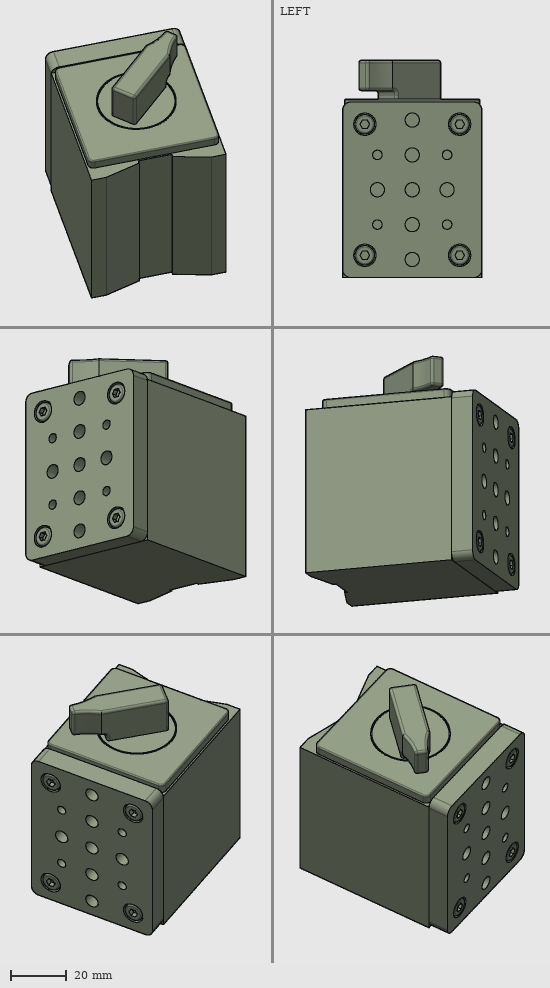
import cadquery as cq
import math


WIDTH = 50.0
BASE_LENGTH = 55.5
BASE_HEIGHT = 60.5

VEE_MOUTH_WIDTH = 39.0
VEE_FLOOR_WIDTH = 12.4
VEE_DEPTH = 3.85
RELIEF_DEPTH = 1.15

COVER_LENGTH = 48.8
COVER_WIDTH = 48.5
COVER_HEIGHT = 3.5
COVER_START = 1.1
COVER_CORNER_RADIUS = 2.0
COVER_EDGE_FILLET = 0.5
COVER_TOP = BASE_HEIGHT + COVER_HEIGHT

SWITCH_X = 24.5
RING_OUTER_DIAMETER = 28.6
RING_WIDTH = 0.4
RING_DEPTH = 0.5

HANDLE_ANGLE = 135.0
HANDLE_HEIGHT = 14.0
HANDLE_LENGTH = 35.2
HANDLE_WIDTH = 10.0
HANDLE_TAIL = -10.8
HANDLE_OFFSET = -0.75
TIP_WIDTH = 5.0
TAPER_START = 14.2
STEM_END = 12.15
FINGER_GAP = 3.0
GAP_FILLET = 1.5
HANDLE_FILLET = 1.0
HANDLE_TIP = HANDLE_TAIL + HANDLE_LENGTH

PLATE_THICKNESS = 8.0
PLATE_HEIGHT = 63.0
PLATE_CORNER_RADIUS = 3.0
PLATE_MIDDLE = PLATE_HEIGHT / 2
HOLE_PITCH = 12.5
LARGE_HOLE_DIAMETER = 5.1
SMALL_HOLE_DIAMETER = 3.4

SCREW_HALF_SPACING_Y = 17.0
SCREW_HALF_SPACING_Z = 23.5
HEAD_DIAMETER = 7.0
HEAD_HEIGHT = 4.0
HEAD_FILLET = 0.5
COUNTERBORE_DIAMETER = 8.0
SHANK_DIAMETER = 4.0
SHANK_LENGTH = 12.0
SOCKET_FLATS = 3.0
SOCKET_DEPTH = 2.0
SOCKET_TURN = 30.0

SCREW_CENTRES = [
    (side_y * SCREW_HALF_SPACING_Y, PLATE_MIDDLE + side_z * SCREW_HALF_SPACING_Z)
    for side_y in (-1, 1)
    for side_z in (-1, 1)
]


def rod_along_x(diameter, x_start, length, y, z):
    """A cylinder running in +X from x_start."""
    return cq.Workplane("YZ", origin=(x_start, y, z)).circle(diameter / 2).extrude(length)


def make_block():
    """Base block with the V-groove and relief slot running its full height."""
    vee_floor_x = BASE_LENGTH - VEE_DEPTH
    relief_x = vee_floor_x - RELIEF_DEPTH
    half_mouth = VEE_MOUTH_WIDTH / 2
    half_floor = VEE_FLOOR_WIDTH / 2
    return (
        cq.Workplane("XY")
        .moveTo(0, -WIDTH / 2)
        .lineTo(BASE_LENGTH, -WIDTH / 2)
        .lineTo(BASE_LENGTH, -half_mouth)
        .lineTo(vee_floor_x, -half_floor)
        .lineTo(relief_x, -half_floor)
        .lineTo(relief_x, half_floor)
        .lineTo(vee_floor_x, half_floor)
        .lineTo(BASE_LENGTH, half_mouth)
        .lineTo(BASE_LENGTH, WIDTH / 2)
        .lineTo(0, WIDTH / 2)
        .close()
        .extrude(BASE_HEIGHT)
    )


def make_cover():
    """Raised cover with rounded corners and a ring groove around the switch axis."""
    cover = (
        cq.Workplane("XY", origin=(COVER_START + COVER_LENGTH / 2, 0, BASE_HEIGHT))
        .rect(COVER_LENGTH, COVER_WIDTH)
        .extrude(COVER_HEIGHT)
        .edges("|Z")
        .fillet(COVER_CORNER_RADIUS)
        .faces(">Z")
        .edges()
        .fillet(COVER_EDGE_FILLET)
    )
    ring_radius = RING_OUTER_DIAMETER / 2
    ring = (
        cq.Workplane("XY", origin=(SWITCH_X, 0, COVER_TOP))
        .circle(ring_radius)
        .circle(ring_radius - RING_WIDTH)
        .extrude(-RING_DEPTH)
    )
    return cover.cut(ring)


def make_handle():
    """Tapered handle whose tip overhangs the cover, turned to its switch position."""
    half_width = HANDLE_WIDTH / 2
    half_tip = TIP_WIDTH / 2
    taper_length = HANDLE_TIP - TAPER_START
    taper_drop = half_width - half_tip
    flank_radius = (taper_length**2 + taper_drop**2) / (2 * taper_drop)
    half_sweep = math.asin(taper_length / flank_radius) / 2
    flank_middle_x = HANDLE_TIP - flank_radius * math.sin(half_sweep)
    flank_middle_y = half_tip + flank_radius * (1 - math.cos(half_sweep))

    handle = (
        cq.Workplane("XY")
        .moveTo(HANDLE_TAIL, -half_width)
        .lineTo(TAPER_START, -half_width)
        .threePointArc((flank_middle_x, -flank_middle_y), (HANDLE_TIP, -half_tip))
        .lineTo(HANDLE_TIP, half_tip)
        .threePointArc((flank_middle_x, flank_middle_y), (TAPER_START, half_width))
        .lineTo(HANDLE_TAIL, half_width)
        .close()
        .extrude(HANDLE_HEIGHT)
    )
    finger_gap = cq.Workplane("XY").box(
        HANDLE_LENGTH, 2 * HANDLE_WIDTH, FINGER_GAP, centered=(False, True, False)
    )
    handle = handle.cut(finger_gap.translate((STEM_END, 0, 0)))

    gap_corner = cq.selectors.NearestToPointSelector((STEM_END, 0, FINGER_GAP))
    handle = handle.edges("|Y").edges(gap_corner).fillet(GAP_FILLET)

    margin = HANDLE_FILLET / 2
    foot = cq.selectors.DirectionMinMaxSelector(cq.Vector(0, 0, 1), False)
    creases = cq.selectors.BoxSelector(
        (TAPER_START - margin, -HANDLE_WIDTH, FINGER_GAP + margin),
        (TAPER_START + margin, HANDLE_WIDTH, HANDLE_HEIGHT - margin),
    )
    gap_fillet_borders = cq.selectors.BoxSelector(
        (STEM_END - margin, -margin, margin),
        (STEM_END + GAP_FILLET + margin, margin, FINGER_GAP + margin),
    )
    handle = handle.edges(-(foot + creases + gap_fillet_borders)).fillet(HANDLE_FILLET)

    return (
        handle.translate((0, HANDLE_OFFSET, 0))
        .rotate((0, 0, 0), (0, 0, 1), HANDLE_ANGLE)
        .translate((SWITCH_X, 0, COVER_TOP))
    )


def make_base():
    """Block, cover and handle in one piece, with blind holes for the screw shanks."""
    base = make_block().union(make_cover()).union(make_handle())
    hole_depth = HEAD_HEIGHT + SHANK_LENGTH - PLATE_THICKNESS
    for y, z in SCREW_CENTRES:
        base = base.cut(rod_along_x(SHANK_DIAMETER, 0, hole_depth, y, z))
    return base


def make_plate():
    """Plate with a cross of large holes, four small holes and the counterbored screw holes."""
    plate = (
        cq.Workplane("YZ", origin=(-PLATE_THICKNESS, 0, PLATE_MIDDLE))
        .rect(WIDTH, PLATE_HEIGHT)
        .extrude(PLATE_THICKNESS)
        .edges("|X")
        .fillet(PLATE_CORNER_RADIUS)
    )
    column = [(0, row * HOLE_PITCH) for row in (-2, -1, 0, 1, 2)]
    sides = [(-HOLE_PITCH, 0), (HOLE_PITCH, 0)]
    for y, z in column + sides:
        plate = plate.cut(
            rod_along_x(LARGE_HOLE_DIAMETER, -PLATE_THICKNESS, PLATE_THICKNESS, y, PLATE_MIDDLE + z)
        )
    for y in (-HOLE_PITCH, HOLE_PITCH):
        for z in (-HOLE_PITCH, HOLE_PITCH):
            plate = plate.cut(
                rod_along_x(SMALL_HOLE_DIAMETER, -PLATE_THICKNESS, PLATE_THICKNESS, y, PLATE_MIDDLE + z)
            )
    for y, z in SCREW_CENTRES:
        plate = plate.cut(rod_along_x(COUNTERBORE_DIAMETER, -PLATE_THICKNESS, HEAD_HEIGHT, y, z))
        plate = plate.cut(rod_along_x(SHANK_DIAMETER, -PLATE_THICKNESS, PLATE_THICKNESS, y, z))
    return plate


def make_screw(y, z):
    """Socket head screw with its head flush with the plate face."""
    head = rod_along_x(HEAD_DIAMETER, -PLATE_THICKNESS, HEAD_HEIGHT, y, z)
    head = head.faces("<X").edges().fillet(HEAD_FILLET)
    shank = rod_along_x(SHANK_DIAMETER, HEAD_HEIGHT - PLATE_THICKNESS, SHANK_LENGTH, y, z)
    socket = (
        cq.Workplane("YZ", origin=(-PLATE_THICKNESS, y, z))
        .polygon(6, SOCKET_FLATS, circumscribed=True)
        .extrude(SOCKET_DEPTH)
        .rotate((0, y, z), (1, y, z), SOCKET_TURN)
    )
    return head.union(shank).cut(socket)


base = make_base()
plate = make_plate()
screws = [make_screw(y, z) for y, z in SCREW_CENTRES]

result = cq.Compound.makeCompound([base.val(), plate.val(), *[screw.val() for screw in screws]])